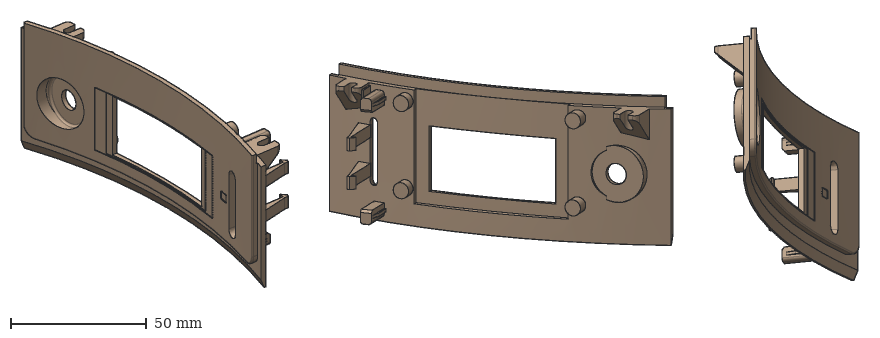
import cadquery as cq
import math

TOTAL_HEIGHT = 55.9
FRONT_MID_Y = 10.2
FRONT_RADIUS = 206.8
AXIS_Y = FRONT_MID_Y - FRONT_RADIUS
REACH = 60.0
OVERLAP = 0.5

FLANGE_HALF_WIDTH = 67.75
FLANGE_HEIGHT = 51.9
FLANGE_SETBACK = 2.6
BACK_DEPTH = 4.8
BEVEL_HEIGHT = 3.75
BEVEL_DEPTH = 1.5

PANEL_HALF_WIDTH = 64.75
PANEL_BOTTOM = 7.8
PANEL_CORNER_RADIUS = 5.0
PANEL_EDGE_RADIUS = 0.5
TOP_STRIP_THICKNESS = 2.0

WINDOW_Z = 25.95
WINDOW_STEPS = (
    (66.4, 26.6, 0.3),
    (56.0, 26.0, 0.6),
)
WINDOW_WIDTH = 50.2
WINDOW_HEIGHT = 24.9
RECESS_HALF_WIDTH = 30.5
RECESS_BOTTOM = 8.6
RECESS_MID_DEPTH = 2.2
RECESS_RADIUS = 310.0

BORE_X = -48.6
BORE_Z = 26.9
BORE_FLOOR_DIAMETER = 19.0
BORE_DIAMETER = 20.8
BORE_HOLE_DIAMETER = 8.0
BORE_BOSS_DIAMETER = 21.6
BORE_BACK_Y = 10.2
BORE_FLOOR_THICKNESS = 2.0

SLOT_X = 47.8
SLOT_Z = 26.0
SLOT_LENGTH = 28.2
SLOT_WIDTH = 5.0
SLOT_BACK_LENGTH = 25.6
SLOT_BACK_WIDTH = 3.1
MARKER_X = 41.3
MARKER_Z = 25.8
MARKER_WIDTH = 4.1
MARKER_HEIGHT = 3.4
MARKER_CORNER_RADIUS = 0.6
MARKER_DEPTH = 0.4

EAR_INNER_X = 50.0
EAR_OUTER_X = 60.2
EAR_TIP_Y = 18.0
EAR_TIP_THICKNESS = 1.7
EAR_CORNER_RADIUS = 2.0
EAR_SLOPE_DEGREES = 40.6
EAR_SLOT_X = 54.8
EAR_SLOT_WIDTH = 3.1
EAR_SLOT_FLOOR_Y = 11.4
EAR_PAD_THICKNESS = 0.8
EAR_PAD_TIP_Y = 16.3
EAR_PAD_HEIGHT = 4.0
EAR_PAD_DROP = 1.0

PIN_DIAMETER = 6.1
PIN_X = 34.1
PIN_TIP_Y = 17.0
PIN_HEIGHTS = (14.25, 47.4)

POST_X = 45.5
POST_WIDTH = 4.4
POST_HEIGHT = 5.4
POST_TIP_Y = 23.3
POST_MIRROR_Z = 25.8
POST_OFFSET_Z = 21.3
POST_OUTER_RADIUS = 1.2
POST_TIP_CHAMFER = 1.0
RIB_THICKNESS = 1.2
RIB_START_Y = 21.6
RIB_FULL_Y = 17.8
RIB_HALF_SPAN = 2.95

ARM_HEIGHT = 4.9
ARM_CENTRES_Z = (18.8, 33.5)
ARM_FACE_X = 49.4
ARM_TOP_X = 50.4
ARM_TAPER_START_Y = 28.0
ARM_TIP_Y = 30.18
ARM_SLOPE = 0.21
HOOK_NOSE_X = 47.4
HOOK_UNDER_Y = 28.1
HOOK_NOSE_HEIGHT = 0.4
HOOK_CREST_X = 49.3
HOOK_CREST_DROP = 0.4


def curve_y(x, depth):
    """Y of the bent surface lying `depth` behind the front face."""
    return AXIS_Y + math.sqrt((FRONT_RADIUS + depth) ** 2 - x ** 2)


def disc(depth):
    """Solid cylinder about the bend axis, out to `depth` behind the front face."""
    plane = cq.Workplane("XY", origin=(0, AXIS_Y, 0))
    return plane.circle(FRONT_RADIUS + depth).extrude(TOTAL_HEIGHT)


def box(x_range, y_range, z_range):
    """Box between pairs of limits."""
    plane = cq.Workplane("XY", origin=(x_range[0], y_range[0], z_range[0]))
    size = [high - low for low, high in (x_range, y_range, z_range)]
    return plane.box(*size, centered=False)


def facing_back(x, y, z):
    """Sketch plane at a point, looking towards +Y; its local Y runs along -Z."""
    return cq.Workplane(cq.Plane(origin=(x, y, z), xDir=(1, 0, 0), normal=(0, 1, 0)))


def bent_sheet(outline, front_depth, back_depth):
    """The part of a prism along Y that lies between two bent surfaces."""
    sheet = outline.intersect(disc(back_depth))
    return sheet.cut(disc(front_depth))


def make_flange():
    half = FLANGE_HALF_WIDTH
    outline = box((-half, half), (-REACH, REACH), (0, FLANGE_HEIGHT))
    flange = bent_sheet(outline, FLANGE_SETBACK, BACK_DEPTH)
    front_radius = FRONT_RADIUS + FLANGE_SETBACK
    bevel = (
        cq.Workplane("XY", origin=(0, AXIS_Y, 0))
        .circle(front_radius + BEVEL_DEPTH)
        .workplane(offset=BEVEL_HEIGHT)
        .circle(front_radius)
        .loft()
    )
    return flange.cut(bevel)


def make_panel():
    half = PANEL_HALF_WIDTH
    outline = box((-half, half), (-REACH, REACH), (PANEL_BOTTOM, TOTAL_HEIGHT))
    outline = outline.edges("|Y and <Z").fillet(PANEL_CORNER_RADIUS)
    panel = bent_sheet(outline, 0, FLANGE_SETBACK)

    def on_front_rim(edge):
        point = edge.positionAt(0.5)
        radius = math.hypot(point.x, point.y - AXIS_Y)
        return abs(radius - FRONT_RADIUS) < 0.01 and point.z < TOTAL_HEIGHT - 0.01

    rim = [edge for edge in panel.edges().vals() if on_front_rim(edge)]
    panel = panel.newObject(rim).fillet(PANEL_EDGE_RADIUS)

    top_band = box((-half, half), (-REACH, REACH), (FLANGE_HEIGHT, TOTAL_HEIGHT))
    return panel.cut(top_band.cut(disc(TOP_STRIP_THICKNESS)))


def cut_window(body):
    def opening(width, height):
        return facing_back(0, -REACH, WINDOW_Z).rect(width, height).extrude(2 * REACH)

    for width, height, depth in WINDOW_STEPS:
        body = body.cut(opening(width, height).intersect(disc(depth)))
    body = body.cut(opening(WINDOW_WIDTH, WINDOW_HEIGHT))

    half = RECESS_HALF_WIDTH
    floor_axis_y = FRONT_MID_Y + RECESS_MID_DEPTH - RECESS_RADIUS
    floor = cq.Workplane("XY", origin=(0, floor_axis_y, 0)).circle(RECESS_RADIUS).extrude(TOTAL_HEIGHT)
    recess = box((-half, half), (0, REACH), (RECESS_BOTTOM, FLANGE_HEIGHT)).cut(floor)
    return body.cut(recess)


def add_bore(body):
    def round_bar(diameter, start_y, end_y):
        return facing_back(BORE_X, start_y, BORE_Z).circle(diameter / 2).extrude(end_y - start_y)

    boss = round_bar(BORE_BOSS_DIAMETER, 0, BORE_BACK_Y).cut(disc(FLANGE_SETBACK))
    spot_face = round_bar(BORE_FLOOR_DIAMETER, BORE_BACK_Y, REACH)
    body = body.union(boss).cut(spot_face)

    floor_y = BORE_BACK_Y - BORE_FLOOR_THICKNESS
    floor_blend = (BORE_DIAMETER - BORE_FLOOR_DIAMETER) / 2
    bore = round_bar(BORE_DIAMETER, -REACH, floor_y).faces(">Y").edges().fillet(floor_blend)
    return body.cut(bore).cut(round_bar(BORE_HOLE_DIAMETER, -REACH, REACH))


def cut_slot(body):
    front_y = curve_y(SLOT_X, 0)
    back_y = curve_y(SLOT_X, BACK_DEPTH)
    run_on = 1.0
    growth = run_on / (back_y - front_y)
    width_step = (SLOT_WIDTH - SLOT_BACK_WIDTH) * growth
    length_step = (SLOT_LENGTH - SLOT_BACK_LENGTH) * growth
    slot = (
        facing_back(SLOT_X, front_y - run_on, SLOT_Z)
        .slot2D(SLOT_LENGTH + length_step, SLOT_WIDTH + width_step, 90)
        .workplane(offset=back_y - front_y + 2 * run_on)
        .slot2D(SLOT_BACK_LENGTH - length_step, SLOT_BACK_WIDTH - width_step, 90)
        .loft()
    )
    return body.cut(slot)


def cut_marker(body):
    pocket = facing_back(MARKER_X, 0, MARKER_Z).rect(MARKER_WIDTH, MARKER_HEIGHT).extrude(REACH)
    pocket = pocket.edges("|Y").fillet(MARKER_CORNER_RADIUS)
    return body.cut(pocket.intersect(disc(MARKER_DEPTH)))


def behind_plate(shape):
    """Trim a rear feature so that it only just sinks into the plate."""
    return shape.cut(disc(BACK_DEPTH - OVERLAP))


def make_ear():
    """Right-hand ear: a slotted wedge, flat on top and sloping underneath."""
    top_z = FLANGE_HEIGHT
    tip_z = top_z - EAR_TIP_THICKNESS
    root_z = tip_z - EAR_TIP_Y * math.tan(math.radians(EAR_SLOPE_DEGREES))
    ear = (
        cq.Workplane("YZ", origin=(EAR_INNER_X, 0, 0))
        .polyline([(0, top_z), (EAR_TIP_Y, top_z), (EAR_TIP_Y, tip_z), (0, root_z)])
        .close()
        .extrude(EAR_OUTER_X - EAR_INNER_X)
    )
    ear = ear.edges("|Z and >Y").fillet(EAR_CORNER_RADIUS)
    half = EAR_SLOT_WIDTH / 2
    round_y = EAR_SLOT_FLOOR_Y + half
    slot = box((EAR_SLOT_X - half, EAR_SLOT_X + half), (round_y, REACH), (0, TOTAL_HEIGHT))
    slot_end = cq.Workplane("XY", origin=(EAR_SLOT_X, round_y, 0)).circle(half).extrude(TOTAL_HEIGHT)
    return behind_plate(ear.cut(slot).cut(slot_end))


def make_ear_pad():
    x_range = (EAR_INNER_X - EAR_PAD_THICKNESS, EAR_INNER_X)
    top_z = FLANGE_HEIGHT - EAR_PAD_DROP
    z_range = (top_z - EAR_PAD_HEIGHT, top_z)
    return behind_plate(box(x_range, (0, EAR_PAD_TIP_Y), z_range))


def make_pin(x, z):
    return behind_plate(facing_back(x, 0, z).circle(PIN_DIAMETER / 2).extrude(PIN_TIP_Y))


def make_upper_post():
    """Rectangular post with rounded outer edges and a flaring rib on each side."""
    half_width = POST_WIDTH / 2
    z = POST_MIRROR_Z + POST_OFFSET_Z
    post = facing_back(POST_X, 0, z).rect(POST_WIDTH, POST_HEIGHT).extrude(POST_TIP_Y)
    post = post.edges("|Y and >Z").fillet(POST_OUTER_RADIUS)
    post = post.faces(">Y").edges("<Z").chamfer(POST_TIP_CHAMFER)
    ribs = (
        cq.Workplane("XY", origin=(POST_X, 0, z - RIB_THICKNESS / 2))
        .polyline([
            (-RIB_HALF_SPAN, 0),
            (-RIB_HALF_SPAN, RIB_FULL_Y),
            (-half_width, RIB_START_Y),
            (half_width, RIB_START_Y),
            (RIB_HALF_SPAN, RIB_FULL_Y),
            (RIB_HALF_SPAN, 0),
        ])
        .close()
        .extrude(RIB_THICKNESS)
    )
    return behind_plate(post.union(ribs))


def make_arm(z):
    """Snap arm with a hook at its tip."""
    root_x = ARM_TOP_X + ARM_SLOPE * ARM_TAPER_START_Y
    arm = (
        cq.Workplane("XY", origin=(0, 0, z - ARM_HEIGHT / 2))
        .polyline([
            (ARM_FACE_X, 0),
            (ARM_FACE_X, HOOK_UNDER_Y),
            (HOOK_NOSE_X, HOOK_UNDER_Y),
            (HOOK_NOSE_X, HOOK_UNDER_Y + HOOK_NOSE_HEIGHT),
            (HOOK_CREST_X, ARM_TIP_Y),
            (ARM_TOP_X, ARM_TIP_Y - HOOK_CREST_DROP),
            (ARM_TOP_X, ARM_TAPER_START_Y),
            (root_x, 0),
        ])
        .close()
        .extrude(ARM_HEIGHT)
    )
    return behind_plate(arm)


body = make_flange().union(make_panel())
body = cut_window(body)
body = add_bore(body)
body = cut_slot(body)
body = cut_marker(body)

ear = make_ear()
body = body.union(ear).union(ear.mirror("YZ")).union(make_ear_pad())

for pin_z in PIN_HEIGHTS:
    for pin_x in (-PIN_X, PIN_X):
        body = body.union(make_pin(pin_x, pin_z))

post = make_upper_post()
body = body.union(post).union(post.mirror("XY", (0, 0, POST_MIRROR_Z)))

for arm_z in ARM_CENTRES_Z:
    body = body.union(make_arm(arm_z))

result = body